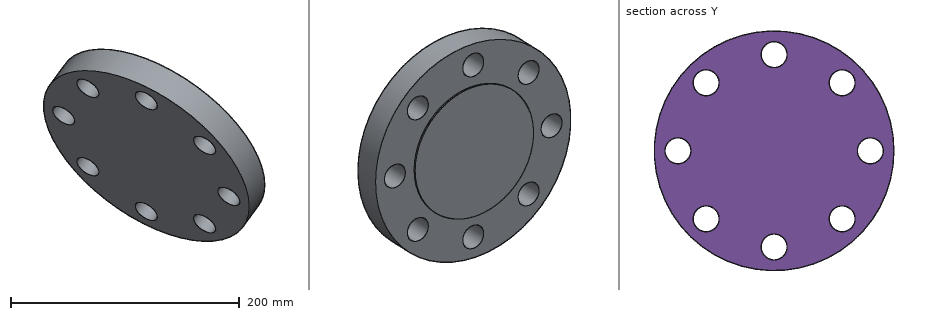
import cadquery as cq

flange_diameter = 209.5
total_thickness = 28.5
raised_face_diameter = 127.0
raised_face_height = 1.7
disc_thickness = total_thickness - raised_face_height

bolt_count = 8
bolt_circle_diameter = 168.0
bolt_hole_diameter = 22.5


def cylinder_along_y(diameter, start_y, length):
    """Solid cylinder centred on the Y axis, growing toward +Y."""
    plane = cq.Workplane("XZ", origin=(0, start_y, 0))
    return plane.circle(diameter / 2).extrude(-length)


disc = cylinder_along_y(flange_diameter, 0, disc_thickness)
raised_face = cylinder_along_y(raised_face_diameter, disc_thickness, raised_face_height)

bolt_holes = (
    cq.Workplane("XZ")
    .polarArray(bolt_circle_diameter / 2, 0, 360, bolt_count)
    .circle(bolt_hole_diameter / 2)
    .extrude(-disc_thickness)
)

result = disc.union(raised_face).cut(bolt_holes)